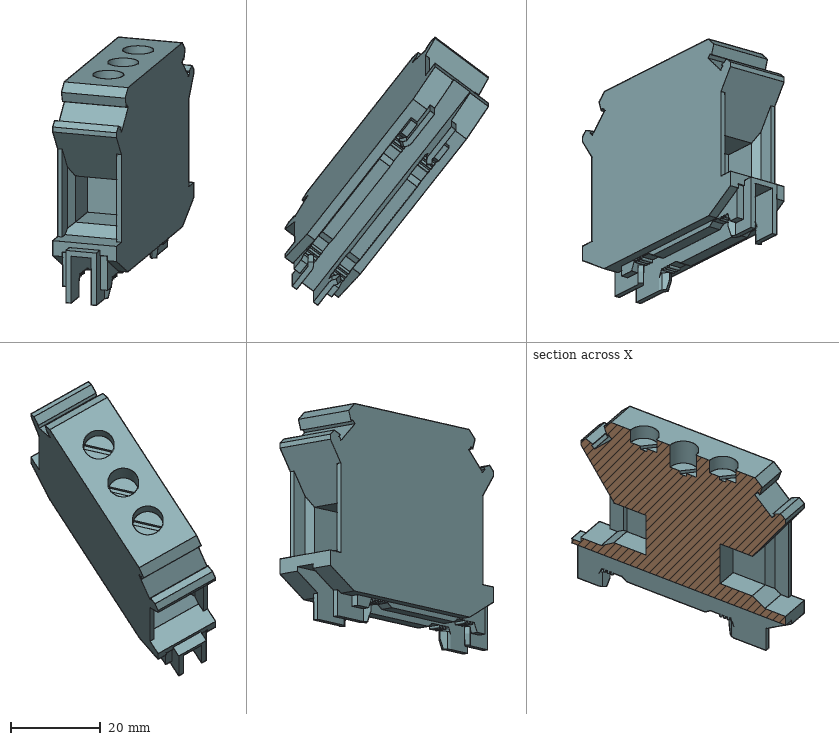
import cadquery as cq
import math


thickness = 15.0
height = 48.0
half_length = 27.5
overall_length = 57.45
housing_bottom = 5.3
wall_y = 24.0
top_half_length = 19.3
ledge_top = 13.4
ledge_bottom = 9.9
bottom_half_length = 19.45
ear_bottom = 38.6
wall_top = 33.75
ear_slope = (ear_bottom - wall_top) / (half_length - wall_y)

pocket_mouth_width = 12.8
chamber_width = 10.2
chamber_mouth_y = 18.55
pocket_side_taper_y = 20.3
pocket_floor_taper_y = 21.95
chamber_bottom = 15.5
chamber_end_y = 10.0

screw_pitch = 10.6
screw_diameter = 6.9
outer_hole_depth = 3.4
middle_hole_depth = 6.0
slot_width = 1.1
slot_depth = 0.8
slot_angle = -45.0

foot_width = 10.6
foot_top = 10.9
foot_base = 5.0
foot_bottom = 2.9
foot_front_y = -27.1
foot_back_y = 15.85
front_toe_y = -24.5
back_toe_y = 12.15
heel_z = 4.1
heel_run = 0.6
base_run = 0.4
hump_bottom = 4.1
hump_front_y = -16.7
hump_back_y = 4.3
hump_slope_run = 1.4
tooth_width = 0.6
tooth_pitch = 1.0
tooth_bottom = 4.4
teeth_per_row = 3
front_teeth_y = -22.7
back_teeth_y = 10.5

sheet = 1.25
clip_width = 7.2
clip_top = foot_top + sheet
clip_front_y = half_length - overall_length
clip_back_y = 20.6
front_bend_y = -24.2
back_bend_y = 12.0

lip_angle = 36.0
lip_length = 1.75
lip_bottom_length = 1.0
lip_top = 4.05
lip_taper_top = 2.4


def prism(points, width):
    """Y-Z outline extruded to a width centred on X = 0."""
    return cq.Workplane("YZ").polyline(points).close().extrude(width / 2, both=True)


def block(width, y_start, y_end, z_start, z_end):
    """Box centred on X = 0."""
    return (
        cq.Workplane("XY")
        .box(width, y_end - y_start, z_end - z_start, centered=(True, False, False))
        .translate((0, y_start, z_start))
    )


def make_housing():
    half_outline = [
        (top_half_length, height),
        (21.3, 46.1),
        (20.5, 43.75),
        (20.05, 44.15),
        (19.2, 43.4),
        (23.85, 38.95),
        (24.55, 39.7),
        (24.15, 40.1),
        (26.15, 40.9),
        (half_length, 39.75),
        (half_length, ear_bottom),
        (wall_y, wall_top),
        (wall_y, ledge_top),
        (half_length, ledge_top),
        (half_length, ledge_bottom),
        (bottom_half_length, housing_bottom),
    ]
    mirrored = [(-y, z) for y, z in reversed(half_outline)]
    return prism(half_outline + mirrored, thickness)


def make_pocket():
    """Wire pocket at the +Y end: a tapered mouth, roofed in line with the ear, and a chamber."""
    chamber_top = wall_top - ear_slope * (wall_y - chamber_mouth_y)
    side_outline = [
        (wall_y, ledge_top),
        (pocket_floor_taper_y, ledge_top),
        (chamber_mouth_y, chamber_bottom),
        (chamber_mouth_y, chamber_top),
        (wall_y, wall_top),
    ]
    plan_outline = [
        (chamber_width / 2, chamber_mouth_y),
        (pocket_mouth_width / 2, pocket_side_taper_y),
        (pocket_mouth_width / 2, wall_y),
        (-pocket_mouth_width / 2, wall_y),
        (-pocket_mouth_width / 2, pocket_side_taper_y),
        (-chamber_width / 2, chamber_mouth_y),
    ]
    plan = cq.Workplane("XY").polyline(plan_outline).close().extrude(height)
    mouth = prism(side_outline, thickness).intersect(plan)
    chamber = block(chamber_width, chamber_end_y, chamber_mouth_y, chamber_bottom, chamber_top)
    return mouth.union(chamber)


def make_screw_hole(y, depth):
    """Round hole with a screwdriver slot across its floor."""
    hole = cq.Workplane("XY").circle(screw_diameter / 2).extrude(depth)
    slot = (
        cq.Workplane("XY")
        .rect(screw_diameter, slot_width)
        .extrude(-slot_depth)
        .rotate((0, 0, 0), (0, 0, 1), slot_angle)
        .intersect(cq.Workplane("XY").circle(screw_diameter / 2).extrude(-slot_depth))
    )
    return hole.union(slot).translate((0, y, height - depth))


def make_tooth(y):
    """Tooth with a rounded tip under the foot, running across its width."""
    radius = tooth_width / 2
    return (
        cq.Workplane("YZ")
        .moveTo(y - radius, housing_bottom)
        .lineTo(y - radius, tooth_bottom + radius)
        .threePointArc((y, tooth_bottom), (y + radius, tooth_bottom + radius))
        .lineTo(y + radius, housing_bottom)
        .close()
        .extrude(foot_width / 2, both=True)
    )


def make_foot():
    outline = [
        (foot_front_y, foot_top),
        (foot_front_y, foot_bottom),
        (front_toe_y, foot_bottom),
        (front_toe_y + heel_run, heel_z),
        (front_toe_y + heel_run + base_run, foot_base),
        (hump_front_y - hump_slope_run, foot_base),
        (hump_front_y, hump_bottom),
        (hump_back_y, hump_bottom),
        (hump_back_y + hump_slope_run, foot_base),
        (back_toe_y - heel_run - base_run, foot_base),
        (back_toe_y - heel_run, heel_z),
        (back_toe_y, foot_bottom),
        (foot_back_y, foot_bottom),
        (foot_back_y, foot_top),
    ]
    foot = prism(outline, foot_width)
    for i in range(teeth_per_row):
        foot = foot.union(make_tooth(front_teeth_y + i * tooth_pitch))
        foot = foot.union(make_tooth(back_teeth_y - i * tooth_pitch))
    return foot


def make_lip(bend_y, inward, side):
    """Sheet metal lip; inward is its direction along Y, side the clip wall it belongs to."""
    outline = [
        (0, 0),
        (lip_bottom_length, 0),
        (lip_length, lip_taper_top),
        (lip_length, lip_top),
        (0, lip_top),
    ]
    lip = cq.Workplane("YZ").polyline(outline).close().extrude(-sheet)
    lip = lip.rotate((0, 0, 0), (0, 0, 1), -lip_angle)
    angle = math.radians(lip_angle)
    bend = (
        cq.Workplane("XY")
        .polyline([(0, 0), (-sheet * math.cos(angle), sheet * math.sin(angle)), (-sheet, 0)])
        .close()
        .extrude(lip_top)
    )
    lip = lip.union(bend)
    if inward < 0:
        lip = lip.mirror("XZ")
    lip = lip.translate((clip_width / 2, bend_y, 0))
    if side < 0:
        lip = lip.mirror("YZ")
    return lip


def make_clip():
    """Clip ends as full blocks; the channel cut later leaves only the sheet."""
    front_end = block(clip_width, clip_front_y, front_bend_y, 0, clip_top)
    back_end = block(clip_width, back_bend_y, clip_back_y, 0, foot_top)
    return front_end.union(back_end)


def make_part():
    part = make_housing()
    pocket = make_pocket()
    part = part.cut(pocket).cut(pocket.mirror("XZ"))

    part = part.cut(make_screw_hole(0, middle_hole_depth))
    for y in (-screw_pitch, screw_pitch):
        part = part.cut(make_screw_hole(y, outer_hole_depth))

    part = part.cut(block(foot_width, -half_length, foot_front_y, 0, foot_top))
    part = part.union(make_foot()).union(make_clip())

    channel_width = clip_width - 2 * sheet
    part = part.cut(block(channel_width, clip_front_y, half_length, 0, foot_top))

    for side in (-1, 1):
        part = part.union(make_lip(front_bend_y, 1, side))
        part = part.union(make_lip(back_bend_y, -1, side))
    return part


result = make_part()